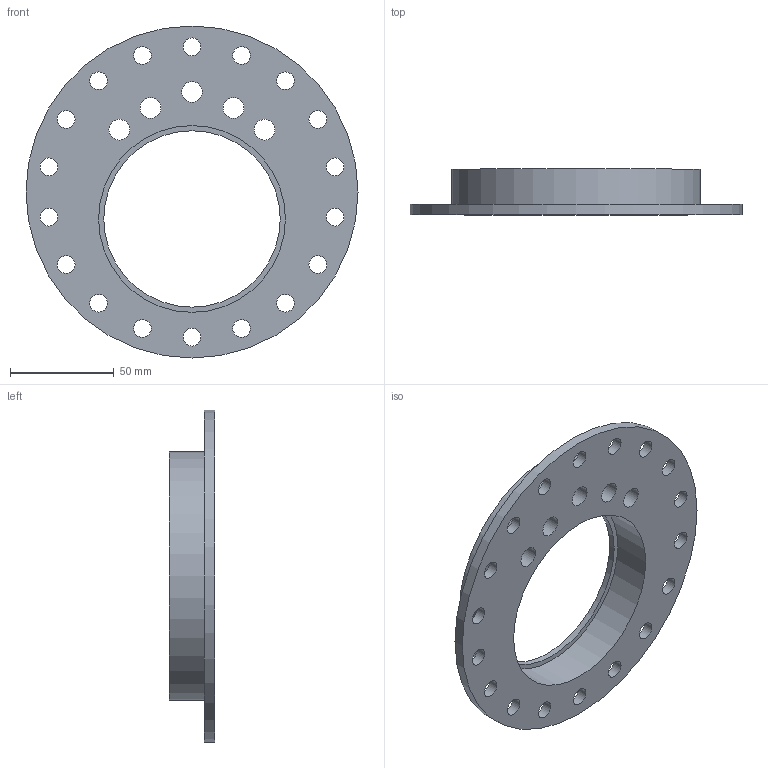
import cadquery as cq

flange_diameter = 160.0
flange_thickness = 5.0
hub_diameter = 120.0
total_depth = 22.0

bore_offset_z = -13.0
bore_diameter = 90.0
lip_diameter = 85.0
lip_thickness = 3.0

bolt_count = 18
bolt_circle_diameter = 140.0
bolt_hole_diameter = 8.5

hub_hole_diameter = 10.0
hub_top_hole = (0.0, 48.25)
hub_side_holes = [(20.0, 40.5), (35.0, 30.0)]


def cylinder(diameter, front, back, x=0.0, z=0.0):
    """Cylinder along Y between the planes Y = front and Y = back."""
    axis_start = cq.Vector(x, front, z)
    return cq.Workplane(cq.Solid.makeCylinder(diameter / 2, back - front, axis_start, cq.Vector(0, 1, 0)))


def make_body():
    flange = cylinder(flange_diameter, 0, flange_thickness)
    hub = cylinder(hub_diameter, flange_thickness, total_depth)
    return flange.union(hub)


def cut_bore(body):
    bore = cylinder(bore_diameter, 0, total_depth - lip_thickness, z=bore_offset_z)
    lip_opening = cylinder(lip_diameter, 0, total_depth, z=bore_offset_z)
    return body.cut(bore).cut(lip_opening)


def cut_bolt_holes(body):
    first_hole = cylinder(bolt_hole_diameter, 0, flange_thickness, z=bolt_circle_diameter / 2)
    for index in range(bolt_count):
        angle = index * 360 / bolt_count
        body = body.cut(first_hole.rotate((0, 0, 0), (0, 1, 0), angle))
    return body


def cut_hub_holes(body):
    mirrored_holes = [(-x, z) for x, z in hub_side_holes]
    for x, z in [hub_top_hole] + hub_side_holes + mirrored_holes:
        body = body.cut(cylinder(hub_hole_diameter, 0, total_depth, x, z))
    return body


result = cut_hub_holes(cut_bolt_holes(cut_bore(make_body())))